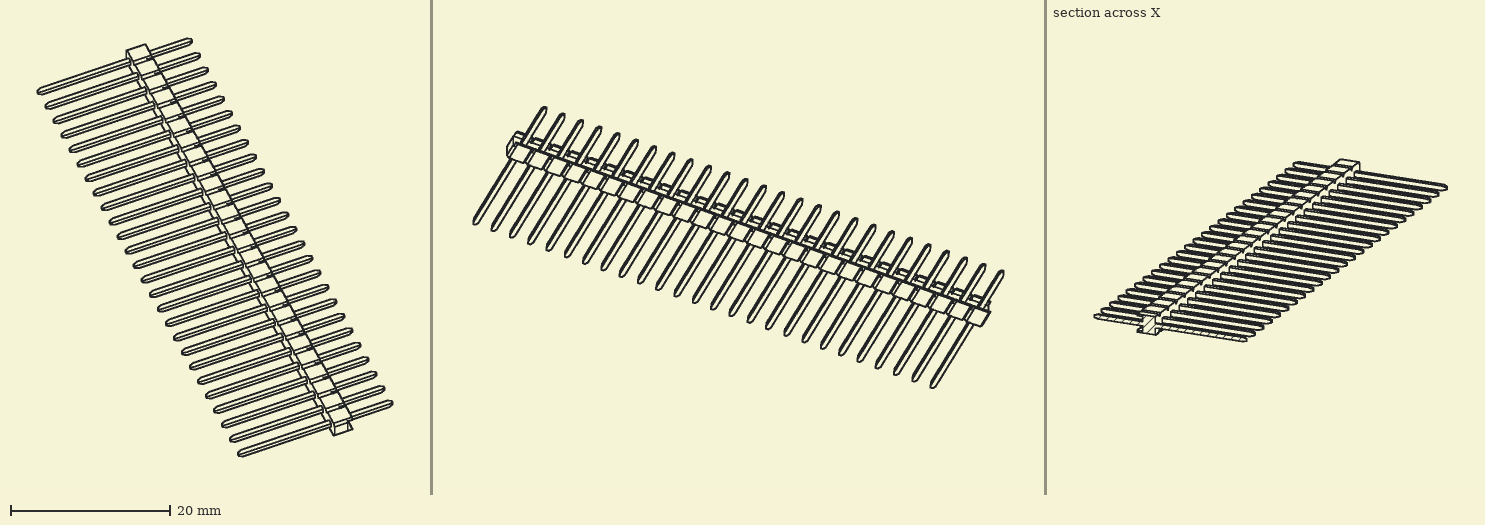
import cadquery as cq

pin_count = 26
pitch = 2.54
row_length = pin_count * pitch

body_height = 2.5
body_depth = pitch
body_back = body_depth / 2
chamfer_width = 0.3
chamfer_height = 0.4

lip_thickness = 0.3
channel_depth = 0.7
channel_height = body_height - 2 * lip_thickness

pin_width = 0.64
pin_length = 21.1
pin_back_reach = 5.96
pin_back = body_back + pin_back_reach
pin_front = pin_back - pin_length
pin_offset = -0.1
tip_length = 0.55
tip_width = 0.32


def block_centre(index):
    """X coordinate of the middle of a block, with the row centred on the origin."""
    return (index - (pin_count - 1) / 2) * pitch


def make_housing():
    """Row of chamfered blocks with a channel along the back face."""
    half_height = body_height / 2
    half_pitch = pitch / 2
    top_edge = [(-row_length / 2, half_height - chamfer_height)]
    for index in range(pin_count):
        x = block_centre(index)
        top_edge.append((x - half_pitch + chamfer_width, half_height))
        top_edge.append((x + half_pitch - chamfer_width, half_height))
        top_edge.append((x + half_pitch, half_height - chamfer_height))
    bottom_edge = [(x, -z) for x, z in reversed(top_edge)]

    housing = (
        cq.Workplane("XZ")
        .polyline(top_edge + bottom_edge)
        .close()
        .extrude(body_back, both=True)
    )
    channel = (
        cq.Workplane("XY")
        .box(row_length, channel_depth, channel_height)
        .translate((0, body_back - channel_depth / 2, 0))
    )
    return housing.cut(channel)


def make_tip(shoulder, end):
    """Tapered pin tip that narrows from the shoulder to the end along Y."""
    return (
        cq.Workplane("XZ", origin=(0, shoulder, 0))
        .rect(pin_width, pin_width)
        .workplane(offset=shoulder - end)
        .rect(tip_width, tip_width)
        .loft(ruled=True)
    )


def make_pin():
    """Square pin at X = 0 with a tapered tip at both ends."""
    front_shoulder = pin_front + tip_length
    back_shoulder = pin_back - tip_length
    shaft = (
        cq.Workplane("XY")
        .box(pin_width, back_shoulder - front_shoulder, pin_width)
        .translate((0, (front_shoulder + back_shoulder) / 2, 0))
    )
    front_tip = make_tip(front_shoulder, pin_front)
    back_tip = make_tip(back_shoulder, pin_back)
    return shaft.union(front_tip).union(back_tip)


pin = make_pin().val()
pin_points = [(block_centre(index) + pin_offset, 0) for index in range(pin_count)]
pins = cq.Workplane("XY").pushPoints(pin_points).eachpoint(lambda place: pin.moved(place))

result = make_housing().union(pins)